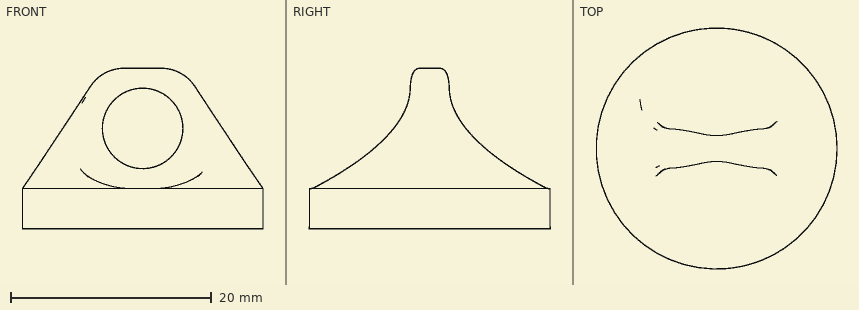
import cadquery as cq

base_radius = 12.0
base_height = 4.0
total_height = 16.0
cone_top_radius = 4.0
crown_radius = 4.0
scoop_radius = 8.0
scoop_offset = scoop_radius
eye_diameter = 8.0
scoop_height = 11.0
eye_height = 10.0
edge_radius = 0.5


def make_body():
    """Cylindrical base carrying a cone with a rounded crown."""
    base = cq.Workplane("XY").circle(base_radius).extrude(base_height)
    cone = cq.Workplane(
        cq.Solid.makeCone(
            base_radius,
            cone_top_radius,
            total_height - base_height,
            pnt=cq.Vector(0, 0, base_height),
        )
    )
    return base.union(cone).faces(">Z").edges().fillet(crown_radius)


def make_scoop(side):
    """Spherical hollow on the given side (+1 or -1) along Y."""
    centre = (0, side * scoop_offset, scoop_height)
    return cq.Workplane("XY").sphere(scoop_radius).translate(centre)


def make_eye():
    """Cylinder along Y that opens the web between the scoops."""
    return (
        cq.Workplane("XZ", origin=(0, 0, eye_height))
        .circle(eye_diameter / 2)
        .extrude(scoop_offset, both=True)
    )


body = make_body()
for side in (1, -1):
    body = body.cut(make_scoop(side))
body = body.cut(make_eye())

result = body.faces("%SPHERE").edges("not %LINE").fillet(edge_radius)